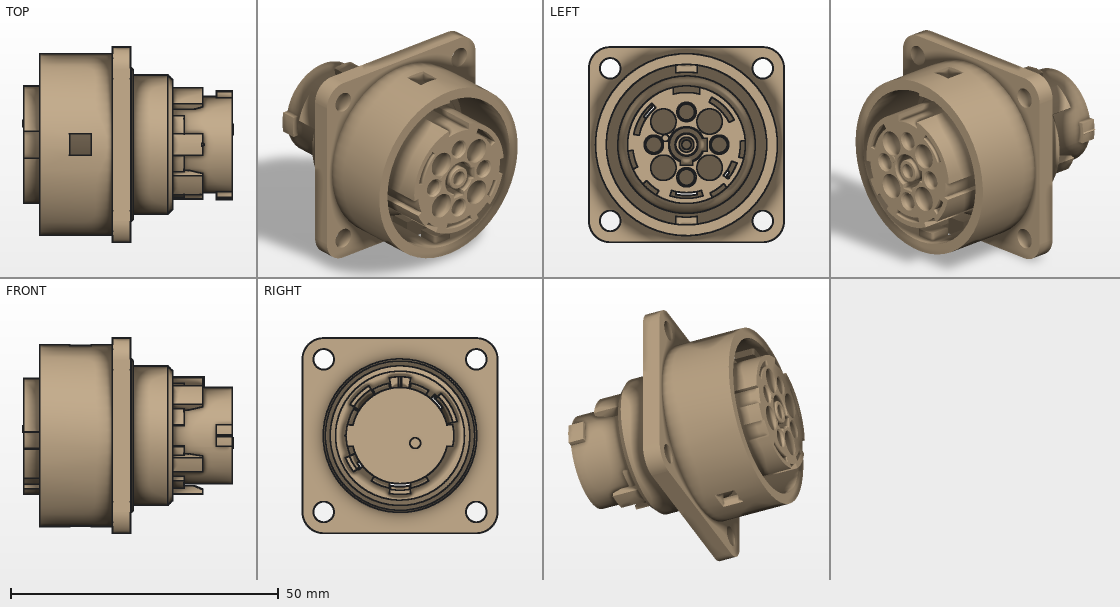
import cadquery as cq
import math


CORE_FACE = 0.0
SHELL_FRONT = 3.0
CATCH_FRONT = 4.6
WINDOW_START = 8.6
WINDOW_END = 12.6
FLANGE_FRONT = 16.6
FLANGE_BACK = 20.0
STEP_END = 20.5
BOSS_END = 27.9
SHORT_TAB_END = 30.0
TAPER_START = 30.8
LONG_TAB_END = 33.5
LUG_START = 36.0
CORE_BACK = 39.0

SHELL_D = 34.0
SHELL_BORE_D = 30.0
FLANGE_SIDE = 36.5
FLANGE_CORNER_R = 4.0
MOUNT_HOLE_D = 3.8
STEP_D = 28.7
STEP_CHAMFER = 0.4
BOSS_D = 26.1
BOSS_CHAMFER = 1.0
WINDOW_WIDTH = 4.0
CATCH_INNER_R = 13.55
CATCH_CORNER_R = 0.5
SEAL_RING_R = 11.35
SEAL_SECTION_R = 1.5

CORE_R = 9.0
SLEEVE_R = 11.0
KEYWAY_FLOOR_R = 10.05
MAIN_KEYWAY_FLOOR_R = 9.75
MAIN_KEYWAY_WIDTH = 5.0
SIDE_KEYWAYS = [(176.2, 193.5), (226.5, 244.0), (301.0, 318.0), (335.5, 354.0)]
POCKET_OUTER_R = 10.05
POCKET_END = 24.0
POCKETS = [(11.0, 50.0), (118.0, 152.5), (200.0, 219.5), (252.0, 288.0)]
SLIT_OUTER_R = 9.5
SLITS = [(33.0, 50.0), (212.5, 219.5), (258.0, 282.0)]
SLIT_END_CORNERS = [(48.0, 50.0), (217.8, 219.5)]

LONG_TAB_TIP_R = 10.2
SHORT_TAB_R = 10.0
TOP_TAB = (79.5, 100.5)
LATCH_TABS = [(14.0, 46.0), (122.0, 148.0), (202.0, 218.0), (259.5, 280.5)]
SHORT_TABS = [(57.5, 78.0), (102.0, 120.7), (150.0, 168.0), (192.0, 201.7), (237.6, 258.0), (282.0, 302.4)]
POINTER_HALF_WIDTH = 0.3
POINTER_LENGTH = 0.27
LUG_R = 10.05
LUG_WIDTH = 4.0
LUG_RIDGE_R = 10.3
LUG_RIDGE_HALF_WIDTH = 0.35

CAVITY_CIRCLE_R = 6.1
LARGE_CAVITY_D = 4.75
SMALL_CAVITY_D = 3.0
SMALL_CAVITY_MOUTH_D = 3.6
CAVITY_DEPTH = 12.0

RECESS_R = 3.2
RECESS_MOUTH_R = 3.35
RECESS_DEPTH = 4.0
RECESS_KEY_REACH = 3.85
RECESS_KEY_WIDTH = 2.4
POST_R = 2.15
POST_TIP_R = 2.0
POST_BORE_D = 2.8
POST_BORE_DEPTH = 6.0
POST_PIN_HOLE_D = 1.75

MARK_HEIGHT = 0.125
FRONT_MARK_AT = (3.95, 1.24)
FRONT_MARK_D = 1.3
REAR_MARK_AT = (2.85, -1.4)
REAR_MARK_D = 2.0

OVERLAP = 0.2
CORE_JOINT_R = CORE_R - OVERLAP


def plane_at(x):
    return cq.Workplane("YZ", origin=(x, 0, 0))


def disc(x_start, x_end, radius):
    return plane_at(x_start).circle(radius).extrude(x_end - x_start)


def cone(x_start, x_end, r_start, r_end):
    profile = [(x_start, 0), (x_start, r_start), (x_end, r_end), (x_end, 0)]
    return cq.Workplane("XY").polyline(profile).close().revolve(360, (0, 0), (1, 0))


def sector(x_start, x_end, r_inner, r_outer, span):
    """Annular sector extruded along X between the two angles of span."""
    start, end = span

    def point(radius, degrees):
        angle = math.radians(degrees)
        return radius * math.cos(angle), radius * math.sin(angle)

    middle = (start + end) / 2
    return (
        plane_at(x_start)
        .moveTo(*point(r_inner, start))
        .lineTo(*point(r_outer, start))
        .threePointArc(point(r_outer, middle), point(r_outer, end))
        .lineTo(*point(r_inner, end))
        .threePointArc(point(r_inner, middle), point(r_inner, start))
        .close()
        .extrude(x_end - x_start)
    )


def block(x_start, x_end, y_start, y_end, z_start, z_end):
    return cq.Workplane("XY").box(
        x_end - x_start, y_end - y_start, z_end - z_start, centered=False
    ).translate((x_start, y_start, z_start))


def make_flange():
    hole_pitch = FLANGE_SIDE - 2 * FLANGE_CORNER_R
    return (
        plane_at(FLANGE_FRONT)
        .rect(FLANGE_SIDE, FLANGE_SIDE)
        .extrude(FLANGE_BACK - FLANGE_FRONT)
        .edges("|X")
        .fillet(FLANGE_CORNER_R)
        .cut(
            plane_at(FLANGE_FRONT)
            .rect(hole_pitch, hole_pitch, forConstruction=True)
            .vertices()
            .circle(MOUNT_HOLE_D / 2)
            .extrude(FLANGE_BACK - FLANGE_FRONT)
        )
    )


def make_shell():
    """Front shell with two round-nosed guide ribs, each cut through by a window."""
    bore_r = SHELL_BORE_D / 2
    half = WINDOW_WIDTH / 2
    shell = disc(SHELL_FRONT, FLANGE_FRONT, SHELL_D / 2).cut(disc(SHELL_FRONT, FLANGE_FRONT, bore_r))
    ribs = (
        block(CATCH_FRONT, FLANGE_FRONT, -half, half, -bore_r - OVERLAP, bore_r + OVERLAP)
        .edges("|Z and <X")
        .fillet(CATCH_CORNER_R)
        .cut(disc(CATCH_FRONT, FLANGE_FRONT, CATCH_INNER_R))
    )
    window = block(WINDOW_START, WINDOW_END, -half, half, -SHELL_D / 2, SHELL_D / 2)
    return shell.union(ribs).cut(window)


def make_rear_boss():
    step = disc(FLANGE_BACK, STEP_END, STEP_D / 2).faces(">X").chamfer(STEP_CHAMFER)
    boss = disc(FLANGE_BACK, BOSS_END, BOSS_D / 2).faces(">X").chamfer(BOSS_CHAMFER)
    return step.union(boss)


def make_seal_ring():
    """Round sealing ring seated on the sleeve against the flange."""
    ring = (
        cq.Workplane("XY")
        .center(FLANGE_FRONT - SEAL_SECTION_R + OVERLAP / 2, SEAL_RING_R)
        .circle(SEAL_SECTION_R)
        .revolve(360, (0, -SEAL_RING_R), (1, -SEAL_RING_R))
    )
    return ring.cut(disc(CORE_FACE, FLANGE_BACK, SLEEVE_R))


def make_sleeve():
    """Front sleeve around the core, keyed on its outside."""
    sleeve = disc(CORE_FACE, FLANGE_FRONT, SLEEVE_R)
    half = MAIN_KEYWAY_WIDTH / 2
    main_keyway = block(CORE_FACE, FLANGE_FRONT, -half, half, 0, SLEEVE_R)
    sleeve = sleeve.cut(main_keyway.cut(disc(CORE_FACE, FLANGE_FRONT, MAIN_KEYWAY_FLOOR_R)))
    for span in SIDE_KEYWAYS:
        sleeve = sleeve.cut(sector(CORE_FACE, FLANGE_FRONT, KEYWAY_FLOOR_R, SLEEVE_R + OVERLAP, span))
    return sleeve


def make_rear_tabs():
    """Straight top tab with a pointer, short tabs, and latch tabs tapering open inside toward the tip."""
    tab_root = BOSS_END - OVERLAP
    taper = cone(TAPER_START, LONG_TAB_END, CORE_R, LONG_TAB_TIP_R)
    tabs = sector(tab_root, LONG_TAB_END, CORE_JOINT_R, SLEEVE_R, TOP_TAB)
    for span in LATCH_TABS:
        tabs = tabs.add(sector(tab_root, LONG_TAB_END, CORE_JOINT_R, SLEEVE_R, span).cut(taper))
    for span in SHORT_TABS:
        tabs = tabs.add(sector(tab_root, SHORT_TAB_END, CORE_JOINT_R, SHORT_TAB_R, span))
    pointer = (
        cq.Workplane("XY", origin=(0, 0, CORE_R))
        .polyline([
            (LONG_TAB_END - OVERLAP, -POINTER_HALF_WIDTH),
            (LONG_TAB_END, -POINTER_HALF_WIDTH),
            (LONG_TAB_END + POINTER_LENGTH, 0),
            (LONG_TAB_END, POINTER_HALF_WIDTH),
            (LONG_TAB_END - OVERLAP, POINTER_HALF_WIDTH),
        ])
        .close()
        .extrude(SLEEVE_R - CORE_R)
    )
    return tabs.add(pointer).combine()


def make_bayonet_lugs():
    """Two opposite lugs at the rear; the one on -Y carries a pointed ridge."""
    length = CORE_BACK - LUG_START
    bar = plane_at(LUG_START).rect(2 * LUG_R, LUG_WIDTH).extrude(length)
    lugs = disc(LUG_START, CORE_BACK, LUG_R).intersect(bar)
    ridge = (
        plane_at(LUG_START)
        .polyline([
            (-LUG_R + OVERLAP, -LUG_RIDGE_HALF_WIDTH),
            (-LUG_R + OVERLAP, LUG_RIDGE_HALF_WIDTH),
            (-LUG_RIDGE_R, 0),
        ])
        .close()
        .extrude(length)
    )
    return lugs.union(ridge)


def cut_sleeve_pockets(body):
    """Curved pockets around the core, with narrow slits running on through the rear."""
    for span in POCKETS:
        body = body.cut(sector(CORE_FACE, POCKET_END, CORE_JOINT_R, POCKET_OUTER_R, span))
    for span in SLITS:
        body = body.cut(sector(CORE_FACE, LONG_TAB_END, CORE_JOINT_R, SLIT_OUTER_R, span))
    for span in SLIT_END_CORNERS:
        body = body.cut(sector(CORE_FACE, LONG_TAB_END, CORE_JOINT_R, POCKET_OUTER_R, span))
    return body


def cut_contact_cavities(body):
    """Eight blind cavities: small ones on the axes, large ones between them."""
    mouth_depth = (SMALL_CAVITY_MOUTH_D - SMALL_CAVITY_D) / 2
    mouth = cone(CORE_FACE, mouth_depth, SMALL_CAVITY_MOUTH_D / 2, SMALL_CAVITY_D / 2)
    small = disc(CORE_FACE, CAVITY_DEPTH, SMALL_CAVITY_D / 2).union(mouth)
    large = disc(CORE_FACE, CAVITY_DEPTH, LARGE_CAVITY_D / 2)
    for index in range(4):
        for cavity, degrees in ((small, 90 * index), (large, 90 * index + 45)):
            placed = cavity.translate((0, CAVITY_CIRCLE_R, 0)).rotate((0, 0, 0), (1, 0, 0), degrees)
            body = body.cut(placed)
    return body


def cut_central_contact(body):
    """Keyed annular recess around a hollow post."""
    half = RECESS_KEY_WIDTH / 2
    recess = (
        disc(CORE_FACE, RECESS_DEPTH, RECESS_R)
        .union(cone(CORE_FACE, RECESS_MOUTH_R - RECESS_R, RECESS_MOUTH_R, RECESS_R))
        .union(block(CORE_FACE, RECESS_DEPTH, -RECESS_KEY_REACH, 0, -half, half))
        .union(block(CORE_FACE, RECESS_DEPTH, -half, half, -RECESS_KEY_REACH, 0))
    )
    post = disc(CORE_FACE, RECESS_DEPTH, POST_R).faces("<X").chamfer(POST_R - POST_TIP_R)
    bore_r = POST_BORE_D / 2
    pin_hole_r = POST_PIN_HOLE_D / 2
    bore_bottom = POST_BORE_DEPTH + bore_r - pin_hole_r
    bore = (
        disc(CORE_FACE, POST_BORE_DEPTH, bore_r)
        .union(cone(POST_BORE_DEPTH, bore_bottom, bore_r, pin_hole_r))
        .union(disc(POST_BORE_DEPTH, CAVITY_DEPTH, pin_hole_r))
    )
    return body.cut(recess.cut(post)).cut(bore)


def add_end_marks(body):
    front = plane_at(CORE_FACE - MARK_HEIGHT).center(*FRONT_MARK_AT)
    rear = plane_at(CORE_BACK - OVERLAP).center(*REAR_MARK_AT)
    body = body.union(front.circle(FRONT_MARK_D / 2).extrude(MARK_HEIGHT + OVERLAP))
    return body.union(rear.circle(REAR_MARK_D / 2).extrude(MARK_HEIGHT + OVERLAP))


housing = make_flange()
for feature in (
    make_shell(),
    make_rear_boss(),
    make_sleeve(),
    make_seal_ring(),
    make_rear_tabs(),
    make_bayonet_lugs(),
):
    housing = housing.union(feature)
housing = cut_sleeve_pockets(housing)

connector = housing.union(disc(CORE_FACE, CORE_BACK, CORE_R))
connector = cut_contact_cavities(connector)
connector = cut_central_contact(connector)
result = add_end_marks(connector)